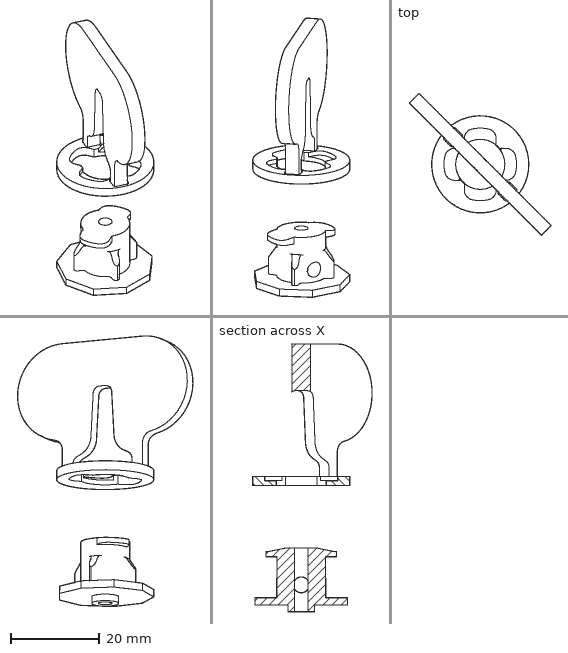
import cadquery as cq
import math

OVERALL_HEIGHT = 60.58
STUB_HEIGHT = 1.5
FLANGE_TOP = 3.2
RIB_TOP = 9.95
WING_BOTTOM = 12.45
PLUG_TOP = 14.45
RING_BOTTOM = 28.55
RING_THICKNESS = 2.1
RING_TOP = RING_BOTTOM + RING_THICKNESS

STUB_RADIUS = 3.05
FLANGE_SIDES = 9
FLANGE_RADIUS = 11.0
SHAFT_RADIUS = 5.55
BORE_RADIUS = 1.5
CROSS_HOLE_RADIUS = 1.77
CROSS_HOLE_HEIGHT = 6.1
CROWN_FLAT_RADIUS = 3.6
CROWN_SLOPE_DEGREES = 11.0
WING_REACH = 8.0
WING_HALF_WIDTH = 3.55
LOBE_CORNER_RADIUS = 2.2

RIB_COUNT = 4
RIB_REACH = 7.6
RIB_HALF_WIDTH = 0.82
RIB_ROOT_RADIUS = 0.9
RIB_NOSE_RADIUS = 1.0
RIB_RAMP_DROP = 2.9

RING_RADIUS = 11.0
RING_HOLE_RADIUS = 5.65
KEYWAY_REACH = 8.2
KEYWAY_HALF_WIDTH = 3.6
REST_DEPTH = 1.0
LEG_POCKET_DEPTH = 1.7
LEG_CLEARANCE = 0.3
LEG_POCKET_CORNER_RADIUS = 0.7

HANDLE_ANGLE = -45.0
HANDLE_THICKNESS = 3.1
HANDLE_END_RADIUS = 11.14
LEG_OUTER = 10.0
LEG_INNER = 7.35
LEG_FILLET_RADIUS = 2.5
SLOT_TOP_DROP = 10.6
SLOT_TOP_HALF_WIDTH = 2.2
SLOT_TOP_RADIUS = 1.65
SHOULDER_DROP = 24.8
SHOULDER_HALF_WIDTH = 3.0
SHOULDER_RADIUS = 4.4
ANKLE_DROP = 26.95
ANKLE_RADIUS = 1.85
CORNER_PICK_MARGIN = 0.1

LEG_FOOT = RING_TOP - LEG_POCKET_DEPTH


def disc(radius, bottom, top):
    return cq.Workplane("XY").workplane(offset=bottom).circle(radius).extrude(top - bottom)


def rounded_lobes(reach, half_width, bottom, top):
    """Bar along Y with ends curved about the Z axis and rounded corners."""
    bar = (
        cq.Workplane("XY")
        .workplane(offset=bottom)
        .rect(2 * half_width, 2 * reach)
        .extrude(top - bottom)
    )
    bar = bar.intersect(disc(reach, bottom, top))
    return bar.edges("|Z").fillet(LOBE_CORNER_RADIUS)


def make_rib():
    """Rib along +X with flared roots, a pointed nose and a ramp cut across its upper end."""
    root_center_y = RIB_HALF_WIDTH + RIB_ROOT_RADIUS
    root_center_distance = SHAFT_RADIUS + RIB_ROOT_RADIUS
    neck_x = math.sqrt(root_center_distance**2 - root_center_y**2)
    touch = SHAFT_RADIUS / root_center_distance
    root_x = neck_x * touch
    root_y = root_center_y * touch
    bend_x = neck_x - RIB_ROOT_RADIUS * math.sin(math.pi / 4)
    bend_y = root_center_y - RIB_ROOT_RADIUS * math.cos(math.pi / 4)

    nose_center_y = RIB_HALF_WIDTH - RIB_NOSE_RADIUS
    nose_x = RIB_REACH - math.sqrt(RIB_NOSE_RADIUS**2 - nose_center_y**2)
    nose_middle = (math.radians(90) + math.asin(-nose_center_y / RIB_NOSE_RADIUS)) / 2
    nose_mid_x = nose_x + RIB_NOSE_RADIUS * math.cos(nose_middle)
    nose_mid_y = nose_center_y + RIB_NOSE_RADIUS * math.sin(nose_middle)

    rib = (
        cq.Workplane("XY")
        .workplane(offset=FLANGE_TOP)
        .moveTo(0, -root_y)
        .lineTo(root_x, -root_y)
        .threePointArc((bend_x, -bend_y), (neck_x, -RIB_HALF_WIDTH))
        .lineTo(nose_x, -RIB_HALF_WIDTH)
        .threePointArc((nose_mid_x, -nose_mid_y), (RIB_REACH, 0))
        .threePointArc((nose_mid_x, nose_mid_y), (nose_x, RIB_HALF_WIDTH))
        .lineTo(neck_x, RIB_HALF_WIDTH)
        .threePointArc((bend_x, bend_y), (root_x, root_y))
        .lineTo(0, root_y)
        .close()
        .extrude(RIB_TOP - FLANGE_TOP)
    )
    ramp = (
        cq.Workplane("XZ")
        .moveTo(SHAFT_RADIUS, RIB_TOP)
        .lineTo(RIB_REACH, RIB_TOP - RIB_RAMP_DROP)
        .lineTo(RIB_REACH, RIB_TOP)
        .close()
        .extrude(root_y, both=True)
    )
    return rib.cut(ramp)


def make_plug():
    """Flanged shaft with two wings at its head, four ribs and a stub below."""
    flange = (
        cq.Workplane("XY")
        .workplane(offset=STUB_HEIGHT)
        .polygon(FLANGE_SIDES, 2 * FLANGE_RADIUS)
        .extrude(FLANGE_TOP - STUB_HEIGHT)
    )
    wings = rounded_lobes(WING_REACH, WING_HALF_WIDTH, WING_BOTTOM, PLUG_TOP)
    head = disc(SHAFT_RADIUS, FLANGE_TOP, PLUG_TOP).union(wings)

    crown_drop = (WING_REACH - CROWN_FLAT_RADIUS) * math.tan(math.radians(CROWN_SLOPE_DEGREES))
    crown_envelope = (
        cq.Workplane("XZ")
        .moveTo(0, 0)
        .lineTo(WING_REACH, 0)
        .lineTo(WING_REACH, PLUG_TOP - crown_drop)
        .lineTo(CROWN_FLAT_RADIUS, PLUG_TOP)
        .lineTo(0, PLUG_TOP)
        .close()
        .revolve(360, (0, 0, 0), (0, 1, 0))
    )
    head = head.intersect(crown_envelope)

    plug = disc(STUB_RADIUS, 0, STUB_HEIGHT).union(flange).union(head)
    rib = make_rib()
    for index in range(RIB_COUNT):
        angle = (index + 0.5) * 360 / RIB_COUNT
        plug = plug.union(rib.rotate((0, 0, 0), (0, 0, 1), angle))

    cross_hole = (
        cq.Workplane("YZ")
        .center(0, CROSS_HOLE_HEIGHT)
        .circle(CROSS_HOLE_RADIUS)
        .extrude(-SHAFT_RADIUS)
    )
    return plug.cut(disc(BORE_RADIUS, 0, PLUG_TOP)).cut(cross_hole)


def make_leg_pockets():
    """Blind pockets that hold the handle's legs with clearance all round."""
    pocket_inner = LEG_INNER - LEG_CLEARANCE
    pocket_outer = LEG_OUTER + LEG_CLEARANCE
    middle = (pocket_inner + pocket_outer) / 2
    return (
        cq.Workplane("XY")
        .workplane(offset=LEG_FOOT)
        .pushPoints([(-middle, 0), (middle, 0)])
        .rect(pocket_outer - pocket_inner, HANDLE_THICKNESS + 2 * LEG_CLEARANCE)
        .extrude(LEG_POCKET_DEPTH)
        .edges("|Z")
        .fillet(LEG_POCKET_CORNER_RADIUS)
        .rotate((0, 0, 0), (0, 0, 1), HANDLE_ANGLE)
    )


def make_ring():
    """Ring with a through keyway along X and a shallow rest for the wings along Y."""
    entry = rounded_lobes(KEYWAY_REACH, KEYWAY_HALF_WIDTH, RING_BOTTOM, RING_TOP)
    entry = entry.rotate((0, 0, 0), (0, 0, 1), 90)
    rest = rounded_lobes(KEYWAY_REACH, KEYWAY_HALF_WIDTH, RING_TOP - REST_DEPTH, RING_TOP)
    return (
        disc(RING_RADIUS, RING_BOTTOM, RING_TOP)
        .cut(disc(RING_HOLE_RADIUS, RING_BOTTOM, RING_TOP))
        .cut(entry)
        .cut(rest)
        .cut(make_leg_pockets())
    )


def make_handle_slot():
    """Tapered slot that widens below its shoulders into the gap between the legs."""
    top = OVERALL_HEIGHT - SLOT_TOP_DROP
    shoulder = OVERALL_HEIGHT - SHOULDER_DROP
    ankle = OVERALL_HEIGHT - ANKLE_DROP
    slot = (
        cq.Workplane("XZ")
        .polyline([
            (-LEG_INNER, LEG_FOOT),
            (-LEG_INNER, ankle),
            (-SHOULDER_HALF_WIDTH, shoulder),
            (-SLOT_TOP_HALF_WIDTH, top),
            (SLOT_TOP_HALF_WIDTH, top),
            (SHOULDER_HALF_WIDTH, shoulder),
            (LEG_INNER, ankle),
            (LEG_INNER, LEG_FOOT),
        ])
        .close()
        .extrude(HANDLE_THICKNESS / 2, both=True)
    )
    rounds = [(top, SLOT_TOP_RADIUS), (shoulder, SHOULDER_RADIUS), (ankle, ANKLE_RADIUS)]
    for height, radius in rounds:
        level = cq.selectors.BoxSelector(
            (-LEG_OUTER, -HANDLE_THICKNESS, height - CORNER_PICK_MARGIN),
            (LEG_OUTER, HANDLE_THICKNESS, height + CORNER_PICK_MARGIN),
        )
        slot = slot.edges("|Y").edges(level).fillet(radius)
    return slot


def make_handle():
    """Flat blade with rounded ends on two legs that stand in the ring's pockets."""
    end_center_z = OVERALL_HEIGHT - HANDLE_END_RADIUS
    fillet_center_u = LEG_OUTER + LEG_FILLET_RADIUS
    center_distance = HANDLE_END_RADIUS + LEG_FILLET_RADIUS
    fillet_center_z = end_center_z - math.sqrt(center_distance**2 - LEG_FILLET_RADIUS**2)
    touch = HANDLE_END_RADIUS / center_distance
    neck_u = LEG_OUTER + LEG_FILLET_RADIUS * touch
    neck_z = end_center_z + (fillet_center_z - end_center_z) * touch
    bend = (math.radians(180) + math.atan2(neck_z - fillet_center_z, neck_u - fillet_center_u)) / 2
    bend_u = fillet_center_u + LEG_FILLET_RADIUS * math.cos(bend)
    bend_z = fillet_center_z + LEG_FILLET_RADIUS * math.sin(bend)
    end_u = LEG_OUTER + HANDLE_END_RADIUS

    blade = (
        cq.Workplane("XZ")
        .moveTo(-LEG_OUTER, OVERALL_HEIGHT)
        .lineTo(LEG_OUTER, OVERALL_HEIGHT)
        .threePointArc((end_u, end_center_z), (neck_u, neck_z))
        .threePointArc((bend_u, bend_z), (LEG_OUTER, fillet_center_z))
        .lineTo(LEG_OUTER, LEG_FOOT)
        .lineTo(-LEG_OUTER, LEG_FOOT)
        .lineTo(-LEG_OUTER, fillet_center_z)
        .threePointArc((-bend_u, bend_z), (-neck_u, neck_z))
        .threePointArc((-end_u, end_center_z), (-LEG_OUTER, OVERALL_HEIGHT))
        .close()
        .extrude(HANDLE_THICKNESS / 2, both=True)
    )
    return blade.cut(make_handle_slot()).rotate((0, 0, 0), (0, 0, 1), HANDLE_ANGLE)


plug = make_plug()
ring = make_ring()
handle = make_handle()

result = cq.Compound.makeCompound([plug.val(), ring.val(), handle.val()])